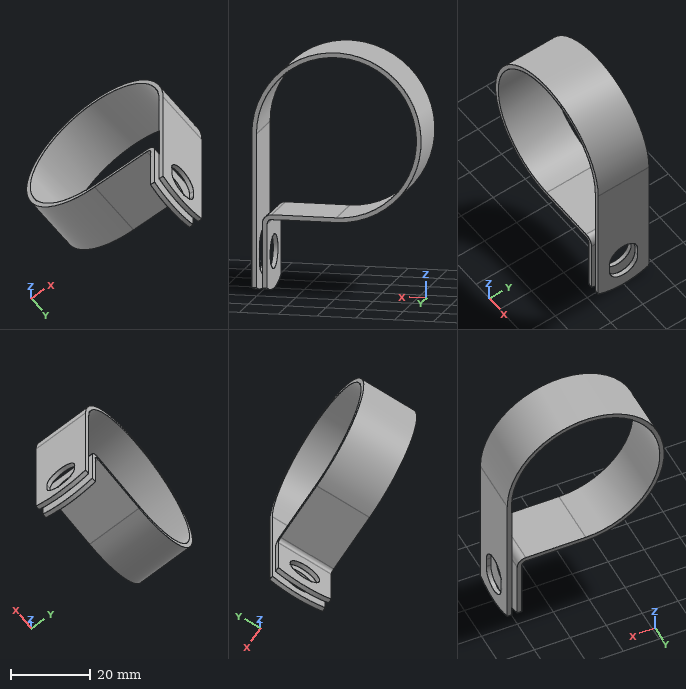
import cadquery as cq
import math

height = 63.05
loop_diameter = 43.7
strip_width = 15.9
thickness = 1.25
leg_gap = 1.5
bend_outer_radius = 2.4
hole_diameter = 8.75
slot_length = 11.35
hole_height = 9.5
tip_rise = 1.7

outer_radius = loop_diameter / 2
inner_radius = outer_radius - thickness
bottom = outer_radius - height
inner_leg_right = inner_radius - leg_gap
inner_leg_left = inner_leg_right - thickness
bend_inner_radius = bend_outer_radius - thickness
bend_x = inner_leg_right - bend_outer_radius
bend_z = -inner_radius - bend_outer_radius
diagonal = math.sqrt(0.5)


def make_strip():
    """Band running up the outer leg, around the loop and down the inner leg."""
    profile = (
        cq.Workplane("XZ")
        .moveTo(outer_radius, bottom)
        .lineTo(outer_radius, 0)
        .threePointArc((-outer_radius * diagonal, outer_radius * diagonal), (0, -outer_radius))
        .lineTo(bend_x, -outer_radius)
        .threePointArc(
            (bend_x + bend_inner_radius * diagonal, bend_z + bend_inner_radius * diagonal),
            (inner_leg_left, bend_z),
        )
        .lineTo(inner_leg_left, bottom)
        .lineTo(inner_leg_right, bottom)
        .lineTo(inner_leg_right, bend_z)
        .threePointArc(
            (bend_x + bend_outer_radius * diagonal, bend_z + bend_outer_radius * diagonal),
            (bend_x, -inner_radius),
        )
        .lineTo(0, -inner_radius)
        .threePointArc((-inner_radius * diagonal, inner_radius * diagonal), (inner_radius, 0))
        .lineTo(inner_radius, bottom)
        .close()
    )
    return profile.extrude(strip_width / 2, both=True)


def make_side_outline():
    """Full-height slab along X whose lower end is the shallow arc of the leg tips."""
    half_width = strip_width / 2
    return (
        cq.Workplane("YZ", origin=(-outer_radius, 0, 0))
        .moveTo(-half_width, outer_radius)
        .lineTo(-half_width, bottom + tip_rise)
        .threePointArc((0, bottom), (half_width, bottom + tip_rise))
        .lineTo(half_width, outer_radius)
        .close()
        .extrude(loop_diameter)
    )


def make_inner_leg_hole():
    """Round bolt hole along X through the inner leg."""
    return (
        cq.Workplane("YZ", origin=(inner_leg_left, 0, bottom + hole_height))
        .circle(hole_diameter / 2)
        .extrude(thickness)
    )


def make_outer_leg_slot():
    """Upright slot through the outer leg, as wide as the bolt hole and centred on it."""
    return (
        cq.Workplane("YZ", origin=(inner_radius, 0, bottom + hole_height))
        .slot2D(slot_length, hole_diameter, 90)
        .extrude(thickness)
    )


result = (
    make_strip()
    .intersect(make_side_outline())
    .cut(make_inner_leg_hole())
    .cut(make_outer_leg_slot())
)